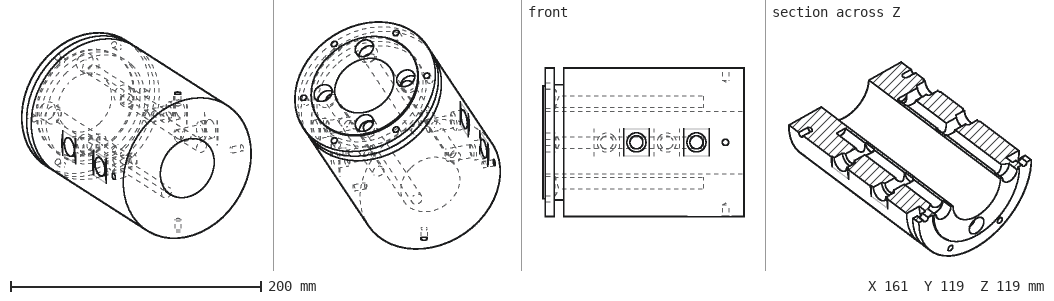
import cadquery as cq
import math

AXIS = cq.Vector(1, 0, 0)

LENGTH = 161.0
OUTER_DIAMETER = 119.0
OUTER_RADIUS = OUTER_DIAMETER / 2
BORE_DIAMETER = 50.0
SPIGOT_DIAMETER = 90.3
SPIGOT_LENGTH = 1.8
FLANGE_THICKNESS = 7.5
FLANGE_BACK = SPIGOT_LENGTH + FLANGE_THICKNESS
GROOVE_DIAMETER = 92.3
GROOVE_WIDTH = 7.4

BOLT_COUNT = 6
BOLT_CIRCLE_RADIUS = 52.2
BOLT_HOLE_DIAMETER = 5.0

PORT_DIAMETER = 15.3
DRILL_TIP_ANGLE = 118.0
TIP_SLOPE = math.tan(math.radians(DRILL_TIP_ANGLE / 2))

END_HOLE_RADIUS = 35.0
END_HOLE_DEPTH = 9.7
PASSAGE_RADIUS = 32.5
PASSAGE_DIAMETER = 9.2
QUARTER_TURNS = (0, 90, 180, 270)

FIRST_PORT_X = 50.9
PORT_PITCH = 24.0
PORT_COUNT = 4
PORT_DEPTH = 8.9
PORT_CORE_DIAMETER = 10.5
PORT_CORE_END = 27.4
LAST_PORT_X = FIRST_PORT_X + (PORT_COUNT - 1) * PORT_PITCH
FLAT_LENGTH = 20.1
FLAT_DEPTH = 1.0
FLAT_RADIUS = OUTER_RADIUS - FLAT_DEPTH

PASSAGE_END = LAST_PORT_X + PORT_CORE_DIAMETER / 2

PIN_X = 146.0
PIN_DIAMETER = 5.0
PIN_DEPTH = 9.7


def rod(diameter, start, direction, length):
    """Cylinder from a start point along a direction."""
    return cq.Workplane(cq.Solid.makeCylinder(diameter / 2, length, start, direction))


def drilled_hole(diameter, start, direction, depth):
    """Cylindrical hole of the given depth ending in a drill-tip cone."""
    tip_length = diameter / 2 / TIP_SLOPE
    tip = cq.Solid.makeCone(diameter / 2, 0, tip_length, start + direction * depth, direction)
    return rod(diameter, start, direction, depth).union(cq.Workplane(tip))


def turned_body():
    """Revolved outline: spigot, flange, groove and main cylinder around the bore."""
    main_start = FLANGE_BACK + GROOVE_WIDTH
    outline = [
        (0, BORE_DIAMETER / 2),
        (0, SPIGOT_DIAMETER / 2),
        (SPIGOT_LENGTH, SPIGOT_DIAMETER / 2),
        (SPIGOT_LENGTH, OUTER_RADIUS),
        (FLANGE_BACK, OUTER_RADIUS),
        (FLANGE_BACK, GROOVE_DIAMETER / 2),
        (main_start, GROOVE_DIAMETER / 2),
        (main_start, OUTER_RADIUS),
        (LENGTH, OUTER_RADIUS),
        (LENGTH, BORE_DIAMETER / 2),
    ]
    return cq.Workplane("XY").polyline(outline).close().revolve(360, (0, 0), (1, 0))


def radial(angle):
    """Unit vector across the X axis; 0 degrees is +Y, 90 degrees is +Z."""
    return cq.Vector(0, math.cos(math.radians(angle)), math.sin(math.radians(angle)))


def bolt_hole(angle):
    """Plain hole through the flange, opening into the groove."""
    start = cq.Vector(SPIGOT_LENGTH, 0, 0) + radial(angle) * BOLT_CIRCLE_RADIUS
    return rod(BOLT_HOLE_DIAMETER, start, AXIS, FLANGE_THICKNESS)


def end_hole(angle):
    """Blind hole in the spigot face with a flat-bottomed passage beyond it."""
    hole = drilled_hole(PORT_DIAMETER, radial(angle) * END_HOLE_RADIUS, AXIS, END_HOLE_DEPTH)
    passage_start = AXIS * END_HOLE_DEPTH + radial(angle) * PASSAGE_RADIUS
    passage = rod(PASSAGE_DIAMETER, passage_start, AXIS, PASSAGE_END - END_HOLE_DEPTH)
    return hole.union(passage)


def side_port(x, side):
    """Spot face, drilled hole and flat-bottomed core on the +Y (side = 1) or -Y (side = -1) side."""
    flat_centre = cq.Vector(x, side * FLAT_RADIUS, 0)
    inward = cq.Vector(0, -side, 0)
    hole = drilled_hole(PORT_DIAMETER, flat_centre, inward, PORT_DEPTH)
    core = rod(PORT_CORE_DIAMETER, flat_centre, inward, FLAT_RADIUS - PORT_CORE_END)
    spot_face = cq.Workplane("XY").box(FLAT_LENGTH, 2 * FLAT_DEPTH, OUTER_DIAMETER)
    spot_face = spot_face.translate((x, side * OUTER_RADIUS, 0))
    return hole.union(core).union(spot_face)


def pin_hole(angle):
    """Blind radial hole drilled into the main cylinder."""
    start = cq.Vector(PIN_X, 0, 0) + radial(angle) * OUTER_RADIUS
    return drilled_hole(PIN_DIAMETER, start, radial(angle) * -1, PIN_DEPTH)

result = turned_body()

for index in range(BOLT_COUNT):
    result = result.cut(bolt_hole(index * 360 / BOLT_COUNT))

for angle in QUARTER_TURNS:
    result = result.cut(end_hole(angle))
    result = result.cut(pin_hole(angle))

for index in range(PORT_COUNT):
    side = 1 if index % 2 == 0 else -1
    result = result.cut(side_port(FIRST_PORT_X + index * PORT_PITCH, side))